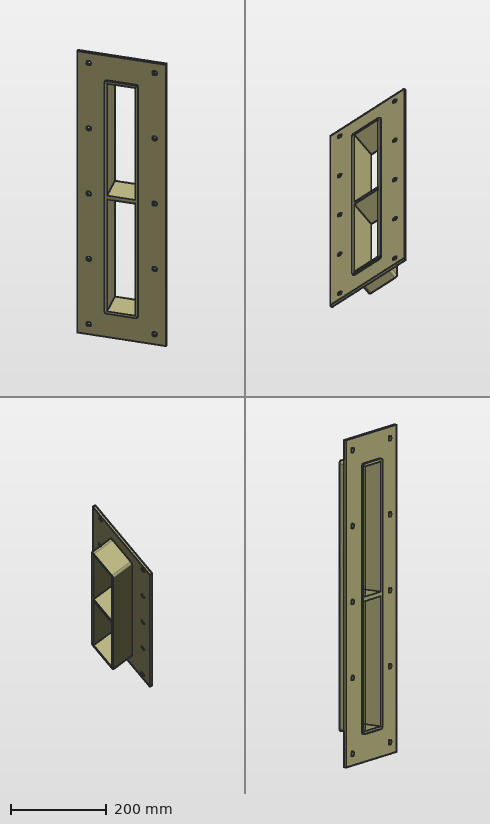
import cadquery as cq

plate_width = 192.5
plate_height = 698.0
plate_thickness = 6.0

duct_width = 73.0
duct_height = 577.0
duct_depth = 60.0
duct_wall = 6.0
duct_corner_radius = duct_wall
front_lip = 4.0
divider_thickness = 10.0

hole_diameter = 10.5
hole_columns = 2
hole_rows = 5
hole_column_spacing = 143.0
hole_row_spacing = 162.0

opening_width = duct_width - 2 * duct_wall
opening_height = (duct_height - 2 * duct_wall - divider_thickness) / 2
opening_offset = (opening_height + divider_thickness) / 2


def block(width, depth, height, front_y):
    """Box centred in X and Z that extends toward +Y from front_y."""
    return cq.Workplane("XY").box(width, depth, height).translate((0, front_y + depth / 2, 0))


def make_plate():
    """Flange plate with two columns of through holes."""
    plate = block(plate_width, plate_thickness, plate_height, front_lip)
    return (
        plate.faces("<Y")
        .workplane(centerOption="CenterOfBoundBox")
        .rarray(hole_column_spacing, hole_row_spacing, hole_columns, hole_rows)
        .hole(hole_diameter)
    )


def make_duct():
    """Solid duct envelope with rounded outer corners, flush at Y = 0 in front."""
    return block(duct_width, duct_depth, duct_height, 0).edges("|Y").fillet(duct_corner_radius)


result = make_plate().union(make_duct())

for side in (-1, 1):
    opening = block(opening_width, duct_depth, opening_height, 0)
    result = result.cut(opening.translate((0, 0, side * opening_offset)))